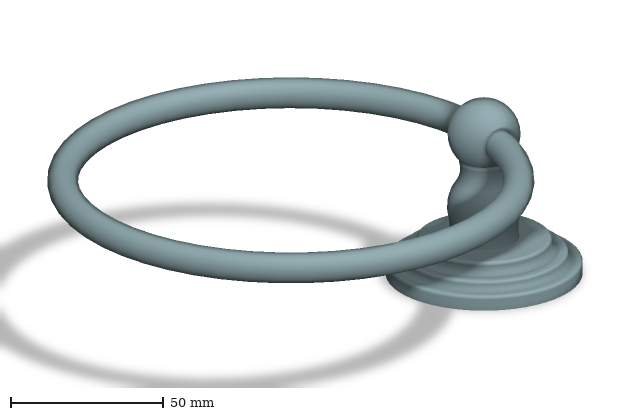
import cadquery as cq
import math

tube_radius = 5.0
ring_outer_radius = 80.0
ring_center_radius = ring_outer_radius - tube_radius

ball_radius = 12.0
ball_center_z = 49.5
ball_flat_x = 10.5

base_radius = 32.5
disc_top_z = 5.0
edge_round = 1.1
lower_cove_foot_radius = 30.0
lower_step_radius = 27.7
lower_cove_top_z = 7.3
lower_step_top_z = lower_cove_top_z + edge_round
upper_cove_foot_radius = 24.4
upper_step_radius = 22.3
upper_cove_top_z = 11.8
base_top_z = upper_cove_top_z + edge_round

stem_foot_radius = 11.6
stem_waist_radius = 11.2
bulge_bottom_radius = 11.6
bulge_bottom_z = 19.7
bulge_radius = 12.2
bulge_center_z = 24.5
bulge_top_radius = 9.0
bulge_top_z = 32.8
neck_waist_radius = 7.9
neck_waist_z = 36.7
neck_radius = 8.2
neck_bottom_z = 39.5

quarter_mid = math.sqrt(0.5)


def add_rounded_edge(profile, outer_radius, top_z):
    """Continue a profile round a convex quarter circle onto a flat top."""
    return profile.threePointArc(
        (outer_radius - edge_round * (1 - quarter_mid), top_z - edge_round * (1 - quarter_mid)),
        (outer_radius - edge_round, top_z),
    )


def add_cove(profile, foot_radius, foot_z, top_radius, top_z):
    """Continue a profile up a hollow that sweeps from flat to steep."""
    middle = (
        foot_radius - (foot_radius - top_radius) * quarter_mid,
        foot_z + (top_z - foot_z) * (1 - quarter_mid),
    )
    return profile.lineTo(foot_radius, foot_z).threePointArc(middle, (top_radius, top_z))


def make_base():
    profile = cq.Workplane("XZ").lineTo(base_radius, 0).lineTo(base_radius, disc_top_z - edge_round)
    profile = add_rounded_edge(profile, base_radius, disc_top_z)
    profile = add_cove(profile, lower_cove_foot_radius, disc_top_z, lower_step_radius, lower_cove_top_z)
    profile = add_rounded_edge(profile, lower_step_radius, lower_step_top_z)
    profile = add_cove(
        profile, upper_cove_foot_radius, lower_step_top_z, upper_step_radius, upper_cove_top_z
    )
    profile = add_rounded_edge(profile, upper_step_radius, base_top_z)
    return profile.lineTo(0, base_top_z).close().revolve(360, (0, 0), (0, 1))


def make_stem():
    foot_waist_z = (base_top_z + bulge_bottom_z) / 2
    return (
        cq.Workplane("XZ")
        .moveTo(0, base_top_z)
        .lineTo(stem_foot_radius, base_top_z)
        .threePointArc((stem_waist_radius, foot_waist_z), (bulge_bottom_radius, bulge_bottom_z))
        .threePointArc((bulge_radius, bulge_center_z), (bulge_top_radius, bulge_top_z))
        .threePointArc((neck_waist_radius, neck_waist_z), (neck_radius, neck_bottom_z))
        .lineTo(neck_radius, ball_center_z)
        .lineTo(0, ball_center_z)
        .close()
        .revolve(360, (0, 0), (0, 1))
    )


def make_ball():
    """Sphere with a small flat on each side where the ring enters."""
    sphere = cq.Workplane("XY").sphere(ball_radius)
    flats = cq.Workplane("XY").box(2 * ball_flat_x, 2 * ball_radius, 2 * ball_radius)
    return sphere.intersect(flats).translate((0, 0, ball_center_z))


def make_ring():
    """Round ring whose centreline passes through the middle of the ball."""
    axis_direction = cq.Vector(0, 0, 1)
    ring_center = cq.Vector(0, -ring_center_radius, ball_center_z)
    return cq.Workplane(cq.Solid.makeTorus(ring_center_radius, tube_radius, ring_center, axis_direction))


def make_post(ring):
    """Base, stem and ball as one body, with a hole that fits the ring."""
    return make_base().union(make_stem()).union(make_ball()).cut(ring)


ring = make_ring()
post = make_post(ring)

result = cq.Compound.makeCompound([post.val(), ring.val()])